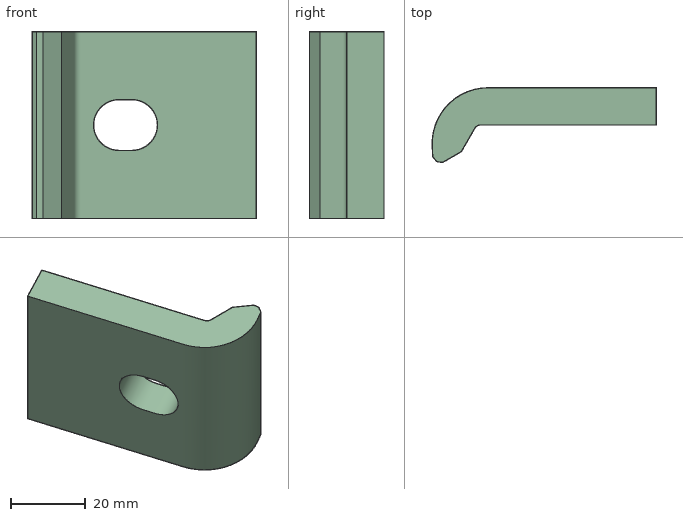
import cadquery as cq
import math

length = 60.0
depth = 20.0
height = 50.0

plate_thickness = 10.0
bend_radius = 15.0
side_lean = 3.0
bevel_start_y = 1.5
bevel_end_y = 0.22
bevel_angle = 40.0
tip_end_x = 2.9
lip_corner_x = 7.85
lip_slope = 30.0
inner_radius = 1.8

slot_length = 17.0
slot_width = 13.5
slot_center_x = 25.0


def slope_offset(distance, angle):
    """Sideways offset of a line that advances by distance while leaning by angle degrees."""
    return distance * math.tan(math.radians(angle))


def make_plate():
    """Extrude the hooked profile upward; the tip of the lip lies on Y = 0."""
    plate_front_y = depth - plate_thickness

    lip_corner_y = slope_offset(lip_corner_x - tip_end_x, lip_slope)
    inner_corner_x = lip_corner_x + slope_offset(plate_front_y - lip_corner_y, lip_slope)

    lean = math.radians(side_lean)
    bend_end_x = bend_radius * (1 - math.cos(lean))
    bend_end_y = depth - bend_radius * (1 + math.sin(lean))

    bevel_start_x = bend_end_x + slope_offset(bend_end_y - bevel_start_y, side_lean)
    bevel_end_x = bevel_start_x + slope_offset(bevel_start_y - bevel_end_y, bevel_angle)

    tip_chord_x = tip_end_x - bevel_end_x
    tip_radius = (tip_chord_x ** 2 + bevel_end_y ** 2) / (2 * bevel_end_y)

    plate = (
        cq.Workplane("XY")
        .moveTo(bevel_end_x, bevel_end_y)
        .radiusArc((tip_end_x, 0), -tip_radius)
        .lineTo(lip_corner_x, lip_corner_y)
        .lineTo(inner_corner_x, plate_front_y)
        .lineTo(length, plate_front_y)
        .lineTo(length, depth)
        .lineTo(bend_radius, depth)
        .radiusArc((bend_end_x, bend_end_y), -bend_radius)
        .lineTo(bevel_start_x, bevel_start_y)
        .close()
        .extrude(height)
    )
    inner_corner = (inner_corner_x, plate_front_y, height / 2)
    return plate.edges(cq.NearestToPointSelector(inner_corner)).fillet(inner_radius)


def make_slot():
    """Round-ended cutter, centred on the height and running through in Y."""
    return (
        cq.Workplane("XZ", origin=(slot_center_x, depth, height / 2))
        .slot2D(slot_length, slot_width)
        .extrude(depth)
    )


result = make_plate().cut(make_slot())